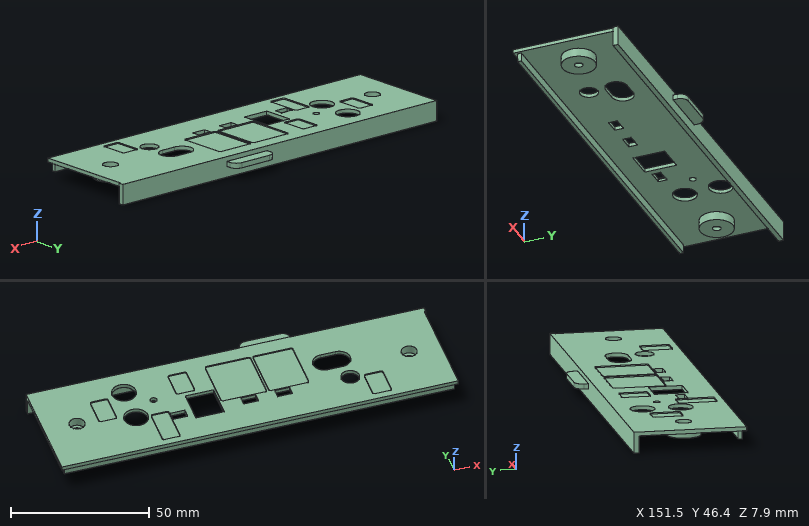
import cadquery as cq

flange_length = 151.5
plate_length = 150.9
plate_width = 41.7
plate_thickness = 1.5

flange_thickness = 2.0
flange_height = 7.9

tab_left = 81.8
tab_width = 19.4
tab_reach = 4.7
tab_thickness = 2.0
tab_top = -1.8
tab_corner_radius = 3.0

underside_depth = 3.3

rib_thickness = 1.5
rib_setback = 1.4
rib_left = 1.4
rib_length = 148.5

boss_diameter = 12.7
screw_hole_diameter = 3.0
counterbore_diameter = 5.8
counterbore_depth = 3.3
screw_inset = 12.6
screw_y = 20.8
screw_points = [(screw_inset, screw_y), (flange_length - screw_inset, screw_y)]

round_holes = [
    (9.0, 34.0, 31.5),
    (9.0, 34.0, 17.5),
    (6.8, 114.4, 14.2),
    (2.5, 42.9, 24.4),
]

slot_length = 14.1
slot_width = 8.3
slot_center = (110.8, 24.7)

display_size = (10.8, 12.5)
display_center = (59.9, 16.7)
switch_size = (5.6, 3.3)
switch_y = 14.0
switch_xs = [49.1, 76.0, 89.0]

label_depth = 0.5
label_corner_radius = 0.8
labels = [
    (20.6, 19.1, 6.7, 11.2),
    (51.8, 24.7, 7.0, 10.6),
    (39.4, 2.7, 6.7, 14.2),
    (66.0, 16.0, 17.3, 19.7),
    (84.3, 16.0, 15.2, 19.7),
    (119.4, 2.7, 7.1, 11.0),
]


def block(left, front, top, length, width, height):
    """Box placed by its left and front edges and its top face."""
    corner = cq.Workplane("XY", origin=(left, front, top - height))
    return corner.box(length, width, height, centered=False)


def cylinder(x, y, top, diameter, height):
    """Upright cylinder hanging down from its top face."""
    return cq.Workplane("XY", origin=(x, y, top)).circle(diameter / 2).extrude(-height)


def rear_tab():
    tab = block(tab_left, plate_width, tab_top, tab_width, tab_reach, tab_thickness)
    return tab.edges("|Z and >Y").fillet(tab_corner_radius)


def rectangular_opening(center, size):
    length, width = size
    x, y = center
    return block(x - length / 2, y - width / 2, 0, length, width, plate_thickness)


def label_recess(left, front, length, width):
    recess = block(left, front, 0, length, width, label_depth)
    return recess.edges("|Z").fillet(label_corner_radius)


result = block(0, 0, 0, plate_length, plate_width, plate_thickness)
flange_front = plate_width - flange_thickness
result = result.union(block(0, flange_front, 0, flange_length, flange_thickness, flange_height))
result = result.union(rear_tab())
result = result.union(block(rib_left, rib_setback, -plate_thickness, rib_length, rib_thickness, underside_depth))

boss_height = plate_thickness + underside_depth
for x, y in screw_points:
    result = result.union(cylinder(x, y, 0, boss_diameter, boss_height))
    result = result.cut(cylinder(x, y, 0, screw_hole_diameter, boss_height))
    result = result.cut(cylinder(x, y, 0, counterbore_diameter, counterbore_depth))

for diameter, x, y in round_holes:
    result = result.cut(cylinder(x, y, 0, diameter, plate_thickness))
slot = cq.Workplane("XY").center(*slot_center).slot2D(slot_length, slot_width).extrude(-plate_thickness)
result = result.cut(slot)
result = result.cut(rectangular_opening(display_center, display_size))
for x in switch_xs:
    result = result.cut(rectangular_opening((x, switch_y), switch_size))

for left, front, length, width in labels:
    result = result.cut(label_recess(left, front, length, width))